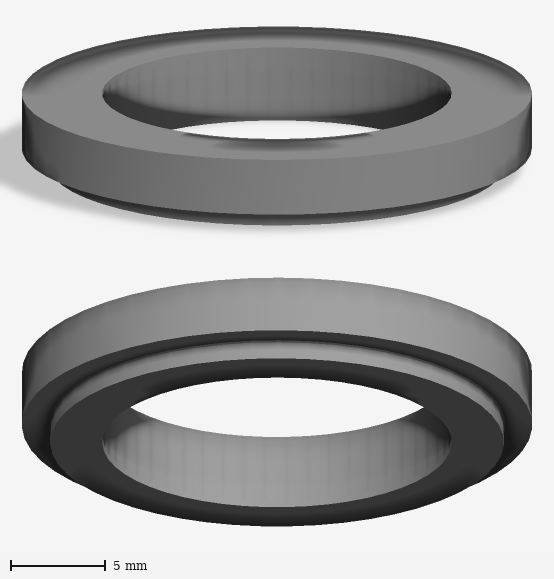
import cadquery as cq

outer_diameter = 27.0
step_diameter = 24.0
bore_diameter = 18.5
total_height = 4.0
step_height = 1.0
corner_bevel = 0.08

outer_radius = outer_diameter / 2
step_radius = step_diameter / 2
bore_radius = bore_diameter / 2

section = (
    cq.Workplane("XZ")
    .moveTo(bore_radius, 0)
    .lineTo(step_radius, 0)
    .lineTo(step_radius, step_height - corner_bevel)
    .lineTo(step_radius + corner_bevel, step_height)
    .lineTo(outer_radius, step_height)
    .lineTo(outer_radius, total_height)
    .lineTo(bore_radius, total_height)
    .close()
)

result = section.revolve(360, (0, 0, 0), (0, 1, 0))